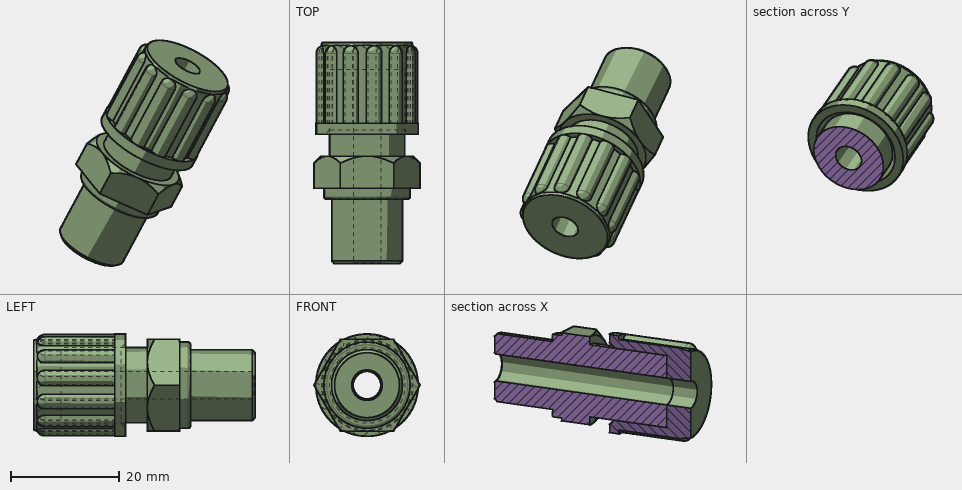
import cadquery as cq
import math

TOTAL_LENGTH = 41
BACK_Y = TOTAL_LENGTH / 2
FRONT_Y = -TOTAL_LENGTH / 2

BORE_DIAMETER = 5.1
BORE_CHAMFER = 0.3

THREAD_DIAMETER = 13.15
THREAD_LENGTH = 11.97
THREAD_CHAMFER = 0.57
COLLAR_DIAMETER = 16
COLLAR_LENGTH = 2.0
COLLAR_ROUND = 0.5
SEAT_DEPTH = 0.15
HEX_ACROSS_FLATS = 17.0
HEX_LENGTH = 6.0
NECK_DIAMETER = 14.0
COLLAR_FRONT_Y = FRONT_Y + THREAD_LENGTH
HEX_FRONT_Y = COLLAR_FRONT_Y + COLLAR_LENGTH
HEX_BACK_Y = HEX_FRONT_Y + HEX_LENGTH
HEX_ACROSS_CORNERS = HEX_ACROSS_FLATS / math.cos(math.radians(30))

NUT_LENGTH = 17.0
NUT_DIAMETER = 17.0
NUT_END_CHAMFER_LENGTH = 0.55
NUT_END_CHAMFER_DEPTH = 0.2
FLANGE_DIAMETER = 19.0
FLANGE_LENGTH = 2.0
MOUTH_DIAMETER = 15.75
MOUTH_DEPTH = (MOUTH_DIAMETER - NECK_DIAMETER) / 2
NUT_END_WALL = 5.0
NUT_FRONT_Y = BACK_Y - NUT_LENGTH
NECK_BACK_Y = BACK_Y - NUT_END_WALL

RIB_COUNT = 12
RIB_RADIUS = 1.5
RIB_FIRST_ANGLE = 9
RIB_PITCH_RADIUS = FLANGE_DIAMETER / 2 - RIB_RADIUS
RIB_DOME_Y = BACK_Y - NUT_END_CHAMFER_LENGTH - RIB_RADIUS


def turned(points):
    """Solid of revolution about the Y axis from (radius, y) points."""
    return cq.Workplane("XY").polyline(points).close().revolve(360, (0, 0, 0), (0, 1, 0))


def cylinder(diameter, front_y, back_y):
    """Round bar along Y between two places on the axis."""
    bar = cq.Workplane("XZ", origin=(0, back_y, 0)).circle(diameter / 2)
    return bar.extrude(back_y - front_y)


def make_hexagon():
    """Hexagon with corners on X, its back corners cut by a 45 degree cone."""
    prism = cq.Workplane("XZ", origin=(0, HEX_BACK_Y, 0)).polygon(6, HEX_ACROSS_CORNERS)
    prism = prism.extrude(HEX_LENGTH)
    flat_radius = HEX_ACROSS_FLATS / 2
    corner_radius = HEX_ACROSS_CORNERS / 2
    cone_start_y = HEX_BACK_Y - (corner_radius - flat_radius)
    envelope = turned([
        (0, HEX_FRONT_Y),
        (corner_radius, HEX_FRONT_Y),
        (corner_radius, cone_start_y),
        (flat_radius, HEX_BACK_Y),
        (0, HEX_BACK_Y),
    ])
    return prism.intersect(envelope)


def make_collar():
    """Collar with a rounded front rim and a shallow conical sealing face sunk towards the thread."""
    collar = cylinder(COLLAR_DIAMETER, COLLAR_FRONT_Y, HEX_FRONT_Y).faces("<Y").edges().fillet(COLLAR_ROUND)
    seat_radius = COLLAR_DIAMETER / 2 - COLLAR_ROUND
    seat = turned([
        (0, COLLAR_FRONT_Y),
        (seat_radius, COLLAR_FRONT_Y),
        (THREAD_DIAMETER / 2, COLLAR_FRONT_Y + SEAT_DEPTH),
        (0, COLLAR_FRONT_Y + SEAT_DEPTH),
    ])
    return collar.cut(seat)


def make_fitting():
    """Threaded end, collar, hexagon and neck in one piece, bored through."""
    thread = cylinder(THREAD_DIAMETER, FRONT_Y, HEX_FRONT_Y).faces("<Y").chamfer(THREAD_CHAMFER)
    neck = cylinder(NECK_DIAMETER, HEX_FRONT_Y, NECK_BACK_Y)
    body = make_hexagon().union(make_collar()).union(thread).union(neck)
    body = body.cut(cylinder(BORE_DIAMETER, FRONT_Y, NECK_BACK_Y))
    countersink = turned([
        (0, FRONT_Y),
        (BORE_DIAMETER / 2 + BORE_CHAMFER, FRONT_Y),
        (BORE_DIAMETER / 2, FRONT_Y + BORE_CHAMFER),
        (0, FRONT_Y + BORE_CHAMFER),
    ])
    return body.cut(countersink)


def make_rib(angle):
    """Round rib along Y with a domed back end, turned to its angle about Y."""
    shaft = cylinder(2 * RIB_RADIUS, NUT_FRONT_Y + FLANGE_LENGTH, RIB_DOME_Y)
    dome = cq.Workplane("XY", origin=(0, RIB_DOME_Y, 0)).sphere(RIB_RADIUS)
    rib = shaft.union(dome).translate((0, 0, RIB_PITCH_RADIUS))
    return rib.rotate((0, 0, 0), (0, 1, 0), angle)


def make_nut():
    """Ribbed union nut with a flange, a 45 degree countersunk mouth and a bore that takes the neck."""
    radius = NUT_DIAMETER / 2
    nut = turned([
        (0, NUT_FRONT_Y),
        (radius, NUT_FRONT_Y),
        (radius, BACK_Y - NUT_END_CHAMFER_LENGTH),
        (radius - NUT_END_CHAMFER_DEPTH, BACK_Y),
        (0, BACK_Y),
    ])
    nut = nut.union(cylinder(FLANGE_DIAMETER, NUT_FRONT_Y, NUT_FRONT_Y + FLANGE_LENGTH))
    for index in range(RIB_COUNT):
        nut = nut.union(make_rib(RIB_FIRST_ANGLE + index * 360 / RIB_COUNT))
    mouth = turned([
        (0, NUT_FRONT_Y),
        (MOUTH_DIAMETER / 2, NUT_FRONT_Y),
        (NECK_DIAMETER / 2, NUT_FRONT_Y + MOUTH_DEPTH),
        (0, NUT_FRONT_Y + MOUTH_DEPTH),
    ])
    nut = nut.cut(mouth)
    nut = nut.cut(cylinder(NECK_DIAMETER, NUT_FRONT_Y, NECK_BACK_Y))
    return nut.cut(cylinder(BORE_DIAMETER, NECK_BACK_Y, BACK_Y))


fitting = make_fitting()
nut = make_nut()

result = cq.Compound.makeCompound([fitting.val(), nut.val()])